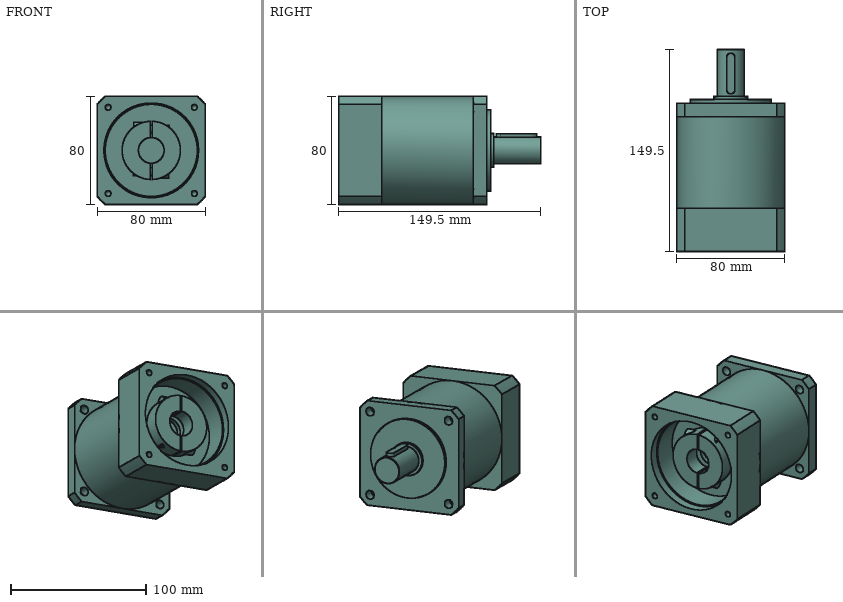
import cadquery as cq
import math


square_side = 80.0
corner_diameter = 105.0
motor_block_end = 31.8
flange_start = 99.5
flange_end = 109.6
pilot_diameter = 60.1
pilot_end = 112.4

shoulder_diameter = 25.0
shoulder_end = 114.7
shaft_diameter = 20.0
shaft_end = 149.5
shaft_chamfer = 0.3
key_width = 6.0
key_length = 30.0
key_end = 146.5
key_top = 12.4

register_diameter = 70.0
register_depth = 7.5
pocket_diameter = 68.0
pocket_depth = 27.7

bolt_circle = 90.0
motor_hole_diameter = 4.2
motor_hole_depth = 15.0
drill_point_angle = 118.0
flange_hole_diameter = 6.5

collar_diameter = 43.0
collar_start = 9.0
collar_end = 22.4
bore_diameter = 19.0
bore_end = motor_block_end
slot_width = 1.3

screw_diameter = 6.0
screw_offset = 15.7
head_diameter = 10.0
head_length = 6.0
head_reach = 13.0
shank_reach = 13.5

bolt_spacing = bolt_circle / math.sqrt(2)


def disc(diameter, start, end):
    """Cylinder on the gearbox axis from y = start to y = end."""
    plane = cq.Workplane("XZ", origin=(0, start, 0))
    return plane.circle(diameter / 2).extrude(start - end)


def square_end(start, end):
    """Square block whose corners are turned to the corner diameter."""
    block = cq.Workplane("XZ", origin=(0, start, 0)).rect(square_side, square_side).extrude(start - end)
    return block.intersect(disc(corner_diameter, start, end))


def output_key():
    """Round-ended key standing up from the shaft axis."""
    return (
        cq.Workplane("XY", origin=(0, key_end - key_length / 2, 0))
        .slot2D(key_length, key_width, 90)
        .extrude(key_top)
    )


def motor_holes():
    """Four blind drilled holes with conical bottoms, entering from the motor face."""
    radius = motor_hole_diameter / 2
    tip_depth = motor_hole_depth + radius / math.tan(math.radians(drill_point_angle / 2))
    profile = [(0, 0), (radius, 0), (radius, motor_hole_depth), (0, tip_depth)]
    hole = cq.Workplane("XY").polyline(profile).close().revolve(360, (0, 0), (0, 1)).val()
    half = bolt_spacing / 2
    places = [cq.Location((x, 0, z)) for x in (-half, half) for z in (-half, half)]
    return cq.Workplane("XY").newObject([hole.moved(place) for place in places]).combine()


def flange_holes():
    """Four holes right through the output flange."""
    return (
        cq.Workplane("XZ", origin=(0, flange_start, 0))
        .rect(bolt_spacing, bolt_spacing, forConstruction=True)
        .vertices()
        .circle(flange_hole_diameter / 2)
        .extrude(flange_start - flange_end)
    )


def make_housing():
    """Housing with its output shaft and key."""
    shaft = disc(shaft_diameter, shoulder_end, shaft_end).faces(">Y").chamfer(shaft_chamfer)
    return (
        square_end(0, motor_block_end)
        .union(disc(square_side, motor_block_end, flange_start))
        .union(square_end(flange_start, flange_end))
        .union(disc(pilot_diameter, flange_end, pilot_end))
        .union(disc(shoulder_diameter, pilot_end, shoulder_end))
        .union(shaft)
        .union(output_key())
        .cut(disc(register_diameter, 0, register_depth))
        .cut(disc(pocket_diameter, register_depth, pocket_depth))
        .cut(disc(bore_diameter, pocket_depth, bore_end))
        .cut(motor_holes())
        .cut(flange_holes())
    )


def clamp_screw():
    """Upper screw across the slot, head on the -X side."""
    center_y = (collar_start + collar_end) / 2
    shank = (
        cq.Workplane("YZ", origin=(-head_reach, center_y, screw_offset))
        .circle(screw_diameter / 2)
        .extrude(head_reach + shank_reach)
    )
    head = (
        cq.Workplane("YZ", origin=(-head_reach, center_y, screw_offset))
        .circle(head_diameter / 2)
        .extrude(head_length)
    )
    return shank.union(head)


def make_collar():
    """Slotted clamp collar; its two halves are held together by the two screws."""
    collar = disc(collar_diameter, collar_start, collar_end)
    collar = collar.cut(disc(bore_diameter, collar_start, collar_end))
    slot_length = collar_end - collar_start
    slot = cq.Workplane("XY").box(slot_width, slot_length, collar_diameter)
    collar = collar.cut(slot.translate((0, collar_start + slot_length / 2, 0)))
    for turn in (0, 180):
        collar = collar.union(clamp_screw().rotate((0, 0, 0), (0, 1, 0), turn))
    return collar


housing = make_housing()
clamp_collar = make_collar()
result = cq.Compound.makeCompound([housing.val(), clamp_collar.val()])